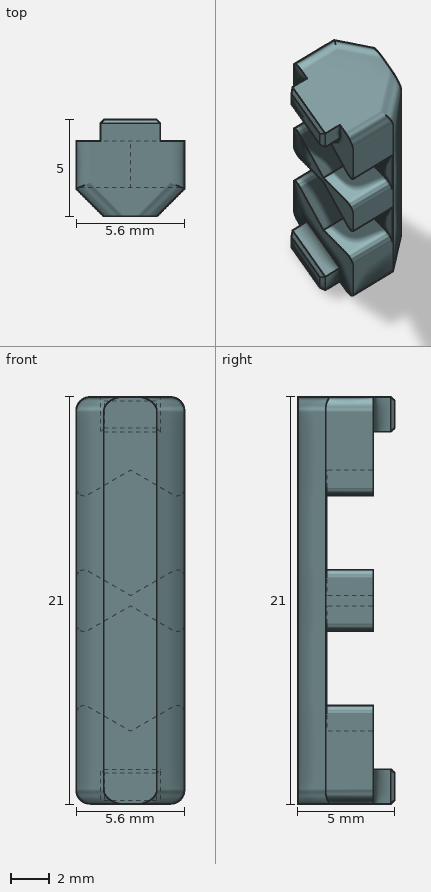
import cadquery as cq
import math

width = 5.6
depth = 5.0
height = 21.0

tab_projection = 1.1
front_chamfer = 1.43
end_round = 0.75

hexagon_sides = 6
quarter_turn = 90
pocket_across_flats = width
pocket_pitch = 7.0
pocket_depth = 2.4
pocket_edge_round = 0.4

tab_width = 3.1
tab_height = 1.8
tab_chamfer = 0.2

half_width = width / 2
half_height = height / 2
front_y = -depth / 2
back_y = depth / 2 - tab_projection
pocket_centres = (-pocket_pitch / 2, pocket_pitch / 2)


def make_body():
    """Bar with chamfered front corners and end edges rounded on the sides and chamfers."""
    front_half_width = half_width - front_chamfer
    shoulder_y = front_y + front_chamfer
    bar = (
        cq.Workplane("XY", origin=(0, 0, -half_height))
        .polyline([
            (-half_width, back_y),
            (-half_width, shoulder_y),
            (-front_half_width, front_y),
            (front_half_width, front_y),
            (half_width, shoulder_y),
            (half_width, back_y),
        ])
        .close()
        .extrude(height)
    )
    side_and_chamfer_faces = bar.faces("not (|Y or |Z)")
    end_edges = side_and_chamfer_faces.edges("<Z or >Z")
    return bar.newObject(end_edges.vals()).fillet(end_round)


def make_pocket(centre_z):
    """Hexagonal prism along Y with two flats facing the sides."""
    across_corners = pocket_across_flats / math.cos(math.pi / hexagon_sides)
    return (
        cq.Workplane("XZ", origin=(0, back_y, centre_z))
        .transformed(rotate=(0, 0, quarter_turn))
        .polygon(hexagon_sides, across_corners)
        .extrude(pocket_depth)
    )


def round_pocket_edges(body):
    """Round the acute edges where the pocket walls meet the sides of the bar."""
    between_end_rounds = cq.selectors.BoxSelector(
        (-width, -depth, -half_height + end_round),
        (width, depth, half_height - end_round),
    )
    acute_edges = body.edges("|Y").edges(between_end_rounds).edges("<X or >X")
    return body.newObject(acute_edges.vals()).fillet(pocket_edge_round)


def make_tab(end):
    """Rectangular tab flush with one end (+1 top, -1 bottom), chamfered round its back face."""
    centre_z = end * (half_height - tab_height / 2)
    return (
        cq.Workplane("XZ", origin=(0, back_y, centre_z))
        .rect(tab_width, tab_height)
        .extrude(-tab_projection)
        .faces(">Y")
        .chamfer(tab_chamfer)
    )


result = make_body()
for pocket_z in pocket_centres:
    result = result.cut(make_pocket(pocket_z))
result = round_pocket_edges(result)
for end in (-1, 1):
    result = result.union(make_tab(end))